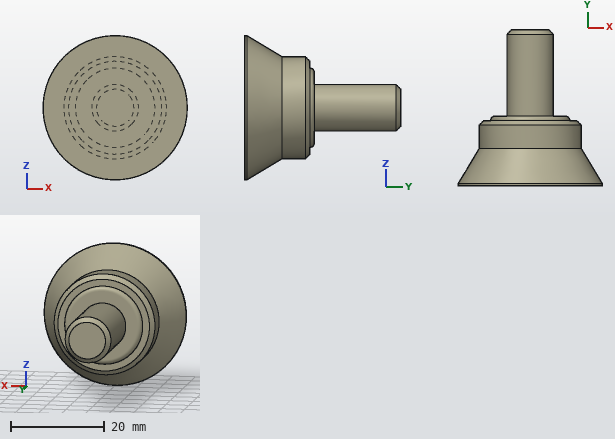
import cadquery as cq
import math

foot_diameter = 31.0
body_diameter = 22.0
collar_diameter = 17.03
stud_diameter = 10.0

rim_height = 0.5
skirt_top = 8.0
body_top = 14.0
collar_top = 15.0
stud_top = 33.52

edge_chamfer = 1.0


def disc(diameter, start, end):
    """Cylinder on the Y axis between two heights."""
    base = cq.Workplane("XZ", origin=(0, start, 0))
    return base.circle(diameter / 2).extrude(start - end)


def make_foot():
    """Thin cylindrical rim with a conical skirt narrowing to the body."""
    foot_radius = foot_diameter / 2
    profile = (
        cq.Workplane("XY")
        .lineTo(foot_radius, 0)
        .lineTo(foot_radius, rim_height)
        .lineTo(body_diameter / 2, skirt_top)
        .lineTo(0, skirt_top)
        .close()
    )
    return profile.revolve(360, (0, 0, 0), (0, 1, 0))


def make_body():
    """Cylinder above the skirt with a chamfered upper edge."""
    return disc(body_diameter, skirt_top, body_top).faces(">Y").edges().chamfer(edge_chamfer)


def make_collar():
    """Low collar whose whole side is a quarter round."""
    collar_radius = collar_diameter / 2
    collar_height = collar_top - body_top
    bend = collar_height * math.sqrt(0.5)
    flat_radius = collar_radius - collar_height
    profile = (
        cq.Workplane("XY")
        .moveTo(0, body_top)
        .lineTo(collar_radius, body_top)
        .threePointArc((flat_radius + bend, body_top + bend), (flat_radius, collar_top))
        .lineTo(0, collar_top)
        .close()
    )
    return profile.revolve(360, (0, 0, 0), (0, 1, 0))


def make_stud():
    """Plain stud with a chamfered tip."""
    return disc(stud_diameter, collar_top, stud_top).faces(">Y").edges().chamfer(edge_chamfer)


result = make_foot().union(make_body()).union(make_collar()).union(make_stud())